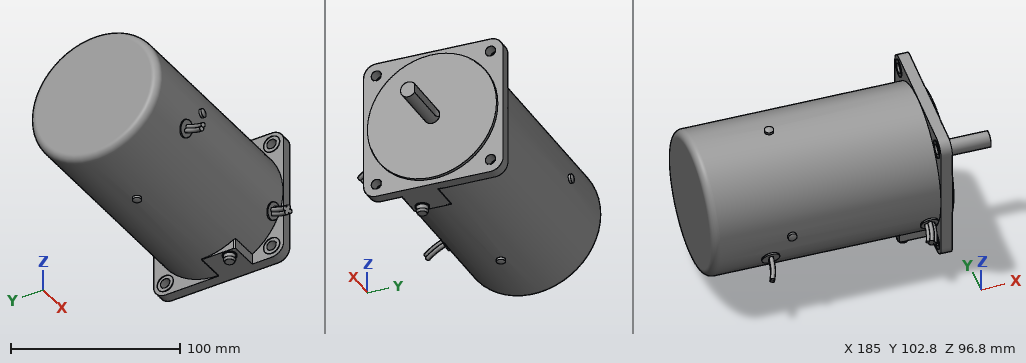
import cadquery as cq
import math

total_length = 185.0

housing_radius = 44.5
rear_edge_fillet = 4.6

plate_start = 141.2
plate_thickness = 7.0
plate_size = 90.1
plate_corner_radius = 8.3
hole_offset = 36.8
hole_diameter = 6.5
pad_diameter = 11.1
pad_height = 0.4

pilot_radius = 41.6
pilot_height = 2.0

shaft_radius = 5.0
flat_height = 4.0
cutter_radius = 14.8

screw_x = 48.8
screw_radius = 2.8
screw_rim_height = 1.5
screw_head_height = 2.31

lead_direction = 22.4
lead_bend_radius = 31.8
wire_diameter = 2.8
wire_spacing = 2.5
grommet_diameter = 11.1
grommet_face = 45.3
grommet_depth = 3.7
rear_lead_x = 36.6
rear_lead_reach = 59.2
front_lead_x = 135.0
front_lead_reach = 57.4

block_start = 121.7
block_side = 23.3
block_chamfer_x = 0.5
block_chamfer_y = 1.1
stud_x = 126.4
stud_y = -16.6
stud_diameter = 7.4
stud_bottom = -50.0
stud_taper_height = 1.7
stud_taper_inset = 0.7
washer_diameter = 8.7
washer_thickness = 0.5

plate_end = plate_start + plate_thickness
pilot_end = plate_end + pilot_height
plate_bottom = -plate_size / 2


def disc(start, length, radius):
    """Cylinder on the motor axis, growing towards +X."""
    return cq.Workplane("YZ", origin=(start, 0, 0)).circle(radius).extrude(length)


def make_housing():
    return disc(0, plate_start, housing_radius).faces("<X").edges().fillet(rear_edge_fillet)


def make_plate():
    plate = (
        cq.Workplane("YZ", origin=(plate_start, 0, 0))
        .rect(plate_size, plate_size)
        .extrude(plate_thickness)
        .edges("|X")
        .fillet(plate_corner_radius)
    )
    hole_square = 2 * hole_offset
    pads = (
        cq.Workplane("YZ", origin=(plate_start - pad_height, 0, 0))
        .rect(hole_square, hole_square, forConstruction=True)
        .vertices()
        .circle(pad_diameter / 2)
        .extrude(pad_height)
    )
    holes = (
        cq.Workplane("YZ", origin=(plate_start - pad_height, 0, 0))
        .rect(hole_square, hole_square, forConstruction=True)
        .vertices()
        .circle(hole_diameter / 2)
        .extrude(pad_height + plate_thickness)
    )
    return plate.union(pads).cut(holes)


def make_shaft():
    shaft = disc(pilot_end, total_length - pilot_end, shaft_radius)
    flat_depth = shaft_radius - flat_height
    runout = math.sqrt(cutter_radius**2 - (cutter_radius - flat_depth) ** 2)
    cutter_x = pilot_end + runout
    cutter = (
        cq.Workplane("XY", origin=(cutter_x, flat_height + cutter_radius, -shaft_radius))
        .circle(cutter_radius)
        .extrude(2 * shaft_radius)
    )
    beyond_cutter = (
        cq.Workplane("XY", origin=(cutter_x, flat_height, -shaft_radius))
        .rect(total_length - cutter_x, shaft_radius, centered=False)
        .extrude(2 * shaft_radius)
    )
    return shaft.cut(cutter).cut(beyond_cutter)


def make_screw(angle):
    """Screw head on the housing, turned by angle about the motor axis from +Z."""
    rim = housing_radius + screw_rim_height
    top = housing_radius + screw_head_height
    dome_height = top - rim
    dome_radius = (screw_radius**2 + dome_height**2) / (2 * dome_height)
    mid_radius = screw_radius / 2
    mid_height = top - dome_radius + math.sqrt(dome_radius**2 - mid_radius**2)
    head = (
        cq.Workplane("XZ")
        .moveTo(0, housing_radius - screw_radius)
        .lineTo(screw_radius, housing_radius - screw_radius)
        .lineTo(screw_radius, rim)
        .threePointArc((mid_radius, mid_height), (0, top))
        .close()
        .revolve(360, (0, 0, 0), (0, 1, 0))
    )
    return head.translate((screw_x, 0, 0)).rotate((0, 0, 0), (1, 0, 0), angle)


def make_lead(lead_x, reach, wire_centres):
    """Grommet and a bundle of wires that leaves radially and bends towards -X.

    Built pointing along -Y, then turned about the motor axis.
    """
    bend_angle = math.degrees(math.asin((reach - grommet_face) / lead_bend_radius))
    grommet = (
        cq.Workplane("XZ", origin=(lead_x, -grommet_face + grommet_depth, 0))
        .circle(grommet_diameter / 2)
        .extrude(grommet_depth)
    )
    bundle = cq.Workplane("XZ", origin=(lead_x, -grommet_face, 0))
    bend_axis = ((-lead_bend_radius, 1.8), (-lead_bend_radius, 0))
    lead = grommet
    for wire_centre in wire_centres:
        wire = bundle.pushPoints([wire_centre]).circle(wire_diameter / 2)
        lead = lead.union(wire.revolve(bend_angle, *bend_axis))
    return lead.rotate((0, 0, 0), (1, 0, 0), lead_direction)


def make_terminal_block():
    block = (
        cq.Workplane("XY", origin=(block_start, -block_side, plate_bottom))
        .rect(plate_start - block_start, block_side, centered=False)
        .extrude(-plate_bottom / 2)
        .edges("|Z and <X and <Y")
        .chamfer(block_chamfer_x, block_chamfer_y)
    )
    washer = (
        cq.Workplane("XY", origin=(stud_x, stud_y, plate_bottom))
        .circle(washer_diameter / 2)
        .extrude(-washer_thickness)
    )
    stud = (
        cq.Workplane("XY", origin=(stud_x, stud_y, plate_bottom))
        .circle(stud_diameter / 2)
        .extrude(stud_bottom - plate_bottom)
        .faces("<Z")
        .edges()
        .chamfer(stud_taper_height, stud_taper_inset)
    )
    return block.union(washer).union(stud)


wire_pair = [(0, -wire_spacing / 2), (0, wire_spacing / 2)]
diamond_reach = wire_spacing / math.sqrt(2)
wire_diamond = [
    (0, 0),
    (diamond_reach, 0),
    (0, diamond_reach),
    (-diamond_reach, 0),
    (0, -diamond_reach),
]

result = make_housing().union(make_plate())
result = result.union(disc(plate_end, pilot_height, pilot_radius))
result = result.union(make_shaft())
result = result.union(make_terminal_block())
for screw_angle in range(0, 360, 90):
    result = result.union(make_screw(screw_angle))
result = result.union(make_lead(rear_lead_x, rear_lead_reach, wire_pair))
result = result.union(make_lead(front_lead_x, front_lead_reach, wire_diamond))